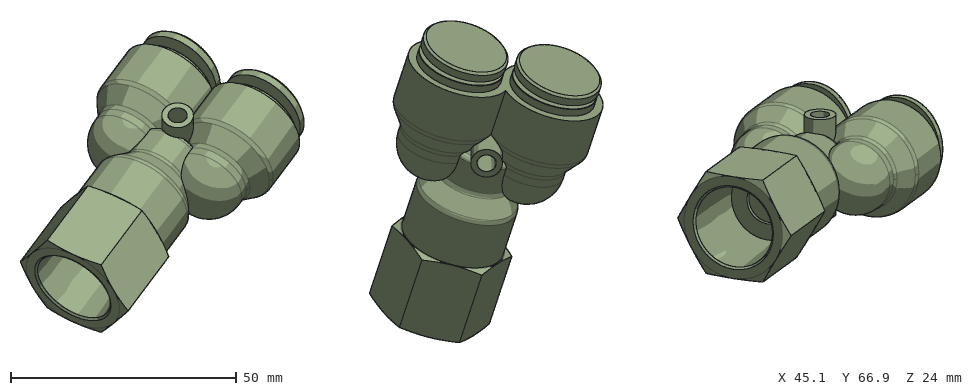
import cadquery as cq
import math


overall_length = 66.9
nut_length = 19.05
lower_shoulder_y = 30.9
shoulder_length = 4.95
stem_end_y = 44.1
sphere_center_y = 41.35
upper_shoulder_y = 48.85
port_face_y = 61.1
collar_length = 1.9
collar_chamfer = 0.1
flange_thickness = 2.3

barrel_diameter = 23.5
neck_diameter = 16.8
port_offset = 10.8
shoulder_fillet = 2.0
stem_end_fillet = 1.2

eyelet_y = 45.95
eyelet_diameter = 7.0
eyelet_hole_diameter = 4.2

nut_across_flats = 24.0
nut_chamfer_angle = 18.0
bore_mouth_diameter = 19.6
bore_chamfer_length = 0.5
bore_diameter = 18.65
bore_depth = 18.05
bore_taper = 1 / 16
passage_diameter = 10.0

collar_diameter = 19.6
sleeve_neck_diameter = 14.2
flange_width = 19.6
flange_height = 22.4
flange_chamfer = 0.55

barrel_radius = barrel_diameter / 2
neck_radius = neck_diameter / 2
collar_end_y = port_face_y + collar_length
flange_y = overall_length - flange_thickness
port_centers = (-port_offset, port_offset)


def revolve_about_y(outline, x=0):
    """Turn an outline of (radius, y) around a line parallel to Y at the given x."""
    return outline.close().revolve(360, (0, 0, 0), (0, 1, 0)).translate((x, 0, 0))


def cylinder_along_y(diameter, start_y, end_y, x=0):
    radius = diameter / 2
    return revolve_about_y(cq.Workplane("XY").moveTo(0, start_y).lineTo(radius, start_y)
                           .lineTo(radius, end_y).lineTo(0, end_y), x)


def circle_edges_at(y):
    """Select the edges that lie in the plane at this y."""
    reach = overall_length
    margin = 0.1
    return cq.selectors.BoxSelector((-reach, y - margin, -reach), (reach, y + margin, reach),
                                    boundingbox=True)


def make_stem():
    """Barrel behind the nut, narrowing through a cone to a round-ended neck."""
    neck_start_y = lower_shoulder_y + shoulder_length
    stem = revolve_about_y(cq.Workplane("XY").moveTo(0, nut_length).lineTo(barrel_radius, nut_length)
                           .lineTo(barrel_radius, lower_shoulder_y).lineTo(neck_radius, neck_start_y)
                           .lineTo(neck_radius, stem_end_y).lineTo(0, stem_end_y))
    for y in (lower_shoulder_y, neck_start_y):
        stem = stem.edges(circle_edges_at(y)).fillet(shoulder_fillet)
    return stem.edges(circle_edges_at(stem_end_y)).fillet(stem_end_fillet)


def make_port(x):
    """Port barrel, narrowing through a cone to a neck that ends in a hemisphere."""
    neck_end_y = upper_shoulder_y - shoulder_length
    arc_offset = neck_radius * math.sqrt(0.5)
    port = revolve_about_y(cq.Workplane("XY").moveTo(0, port_face_y).lineTo(barrel_radius, port_face_y)
                           .lineTo(barrel_radius, upper_shoulder_y).lineTo(neck_radius, neck_end_y)
                           .lineTo(neck_radius, sphere_center_y)
                           .threePointArc((arc_offset, sphere_center_y - arc_offset),
                                          (0, sphere_center_y - neck_radius)))
    for y in (upper_shoulder_y, neck_end_y):
        port = port.edges(circle_edges_at(y)).fillet(shoulder_fillet)
    return port.translate((x, 0, 0))


def eyelet_cylinder(diameter):
    return (cq.Workplane("XY").center(0, eyelet_y).circle(diameter / 2)
            .extrude(barrel_radius, both=True))


def make_housing():
    """Stem, both ports and the eyelet joined, with the eyelet hole through them."""
    housing = make_stem()
    for x in port_centers:
        housing = housing.union(make_port(x))
    return housing.union(eyelet_cylinder(eyelet_diameter)).cut(eyelet_cylinder(eyelet_hole_diameter))


def make_nut():
    """Hexagon with chamfered corners, a tapered bore and a narrow passage to the housing."""
    across_corners = nut_across_flats / math.cos(math.pi / 6)
    corner_radius = across_corners / 2
    face_radius = nut_across_flats / 2
    chamfer_length = (corner_radius - face_radius) * math.tan(math.radians(nut_chamfer_angle))
    hexagon = cq.Workplane("XZ").polygon(6, across_corners).extrude(-nut_length)
    corner_envelope = revolve_about_y(
        cq.Workplane("XY").moveTo(0, 0).lineTo(face_radius, 0)
        .lineTo(corner_radius, chamfer_length).lineTo(corner_radius, nut_length - chamfer_length)
        .lineTo(face_radius, nut_length).lineTo(0, nut_length))

    bore_radius = bore_diameter / 2
    bore_end_radius = bore_radius - bore_taper * (bore_depth - bore_chamfer_length) / 2
    bore = revolve_about_y(cq.Workplane("XY").moveTo(0, 0).lineTo(bore_mouth_diameter / 2, 0)
                           .lineTo(bore_radius, bore_chamfer_length)
                           .lineTo(bore_end_radius, bore_depth).lineTo(0, bore_depth))
    passage = cylinder_along_y(passage_diameter, 0, nut_length)
    return hexagon.intersect(corner_envelope).cut(bore).cut(passage)


def make_collar(x):
    collar = cylinder_along_y(collar_diameter, port_face_y, collar_end_y, x)
    return collar.faces(">Y").edges().chamfer(collar_chamfer)


def make_release_sleeve(x):
    """Round neck carrying an oval push flange that is taller than it is wide."""
    flange = (cq.Workplane("XZ", origin=(x, flange_y, 0)).ellipse(flange_width / 2, flange_height / 2)
              .extrude(-flange_thickness).faces(">Y").edges().chamfer(flange_chamfer))
    return flange.union(cylinder_along_y(sleeve_neck_diameter, collar_end_y, flange_y, x))


housing = make_housing()
nut = make_nut()
collars = [make_collar(x) for x in port_centers]
release_sleeves = [make_release_sleeve(x) for x in port_centers]

bodies = [housing, nut, *collars, *release_sleeves]
result = cq.Compound.makeCompound([body.val() for body in bodies])